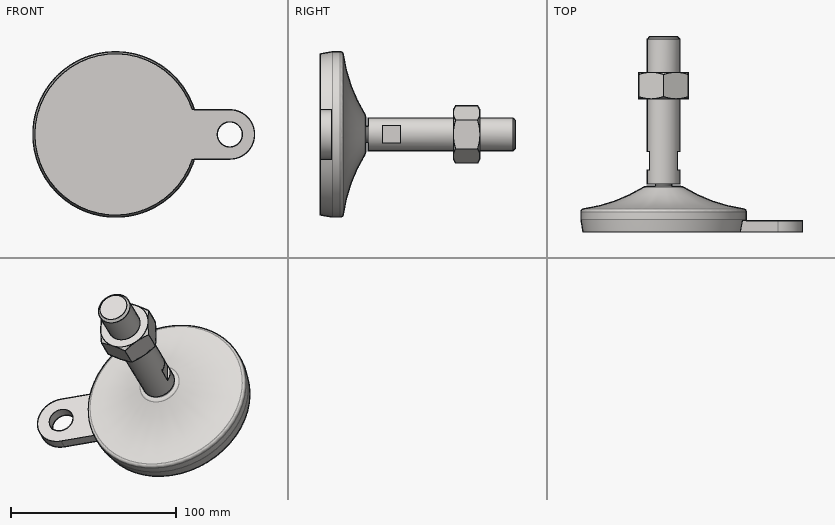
import cadquery as cq
import math


plate_radius = 50.0
pad_height = 7.5
pad_draft_angle = 10.0
rim_height = 13.9
rim_fillet = 2.0
crown_height = 27.75
crown_radius = 11.2
crown_fillet = 5.0
flare_radius = 93.0

lug_width = 30.0
lug_thickness = 7.0
lug_hole_diameter = 15.0
lug_hole_x = 69.0

stem_diameter = 20.0
stem_start = 29.0
stem_end = 118.0
stem_chamfer = 1.5
neck_diameter = 10.0

flats_across = 17.0
flats_length = 11.0
flats_start = 37.6

nut_across_flats = 30.0
nut_height = 16.0
nut_start = 80.5
nut_chamfer_angle = 30.0
hexagon_half_angle = 30.0


def cylinder_along_y(diameter, start, end):
    """Solid cylinder on the stem axis between two Y positions."""
    return cq.Workplane("XZ", origin=(0, start, 0)).circle(diameter / 2).extrude(start - end)


def make_foot_plate():
    """Revolve the pad and the concave flared cover about the stem axis."""
    sole_radius = plate_radius - pad_height * math.tan(math.radians(pad_draft_angle))

    profile = (
        cq.Workplane("XY")
        .lineTo(sole_radius, 0)
        .lineTo(plate_radius, pad_height)
        .lineTo(plate_radius, rim_height)
        .radiusArc((crown_radius, crown_height), flare_radius)
        .lineTo(0, crown_height)
        .close()
    )
    plate = profile.revolve(360, (0, 0, 0), (0, 1, 0))
    plate = plate.faces(">Y").edges().fillet(crown_fillet)
    rim_centre = (0, rim_height, 0)
    return plate.edges("%CIRCLE").edges(cq.selectors.NearestToPointSelector(rim_centre)).fillet(rim_fillet)


def make_lug():
    """Flat tongue with a rounded end, running from the plate centre."""
    return (
        cq.Workplane("XZ")
        .moveTo(0, -lug_width / 2)
        .lineTo(lug_hole_x, -lug_width / 2)
        .threePointArc((lug_hole_x + lug_width / 2, 0), (lug_hole_x, lug_width / 2))
        .lineTo(0, lug_width / 2)
        .close()
        .extrude(-lug_thickness)
    )


def make_lug_hole():
    """Cutter for the through hole in the lug."""
    return cq.Workplane("XZ").center(lug_hole_x, 0).circle(lug_hole_diameter / 2).extrude(-lug_thickness)


def make_stem():
    """Stem with a chamfered free end and two opposite wrench flats."""
    stem = cylinder_along_y(stem_diameter, stem_start, stem_end).faces(">Y").chamfer(stem_chamfer)
    flat_depth = (stem_diameter - flats_across) / 2
    for side in (-1, 1):
        cutter = cq.Workplane("XY").box(flat_depth, flats_length, stem_diameter)
        flat_x = side * (flats_across + flat_depth) / 2
        stem = stem.cut(cutter.translate((flat_x, flats_start + flats_length / 2, 0)))
    return stem


def make_nut():
    """Hexagon nut with two flats facing +X and -X, corners chamfered at both ends."""
    corner_radius = nut_across_flats / 2 / math.cos(math.radians(hexagon_half_angle))
    blank = (
        cq.Workplane("XZ", origin=(0, nut_start, 0))
        .polygon(6, 2 * corner_radius)
        .extrude(-nut_height)
        .rotate((0, 0, 0), (0, 1, 0), hexagon_half_angle)
    )
    face_radius = nut_across_flats / 2
    chamfer_height = (corner_radius - face_radius) * math.tan(math.radians(nut_chamfer_angle))
    nut_end = nut_start + nut_height
    envelope = (
        cq.Workplane("XY")
        .moveTo(0, nut_start)
        .lineTo(face_radius, nut_start)
        .lineTo(corner_radius, nut_start + chamfer_height)
        .lineTo(corner_radius, nut_end - chamfer_height)
        .lineTo(face_radius, nut_end)
        .lineTo(0, nut_end)
        .close()
        .revolve(360, (0, 0, 0), (0, 1, 0))
    )
    return blank.intersect(envelope)


neck = cylinder_along_y(neck_diameter, crown_height, stem_start)

result = make_foot_plate().union(make_lug()).cut(make_lug_hole())
result = result.union(neck).union(make_stem()).union(make_nut())